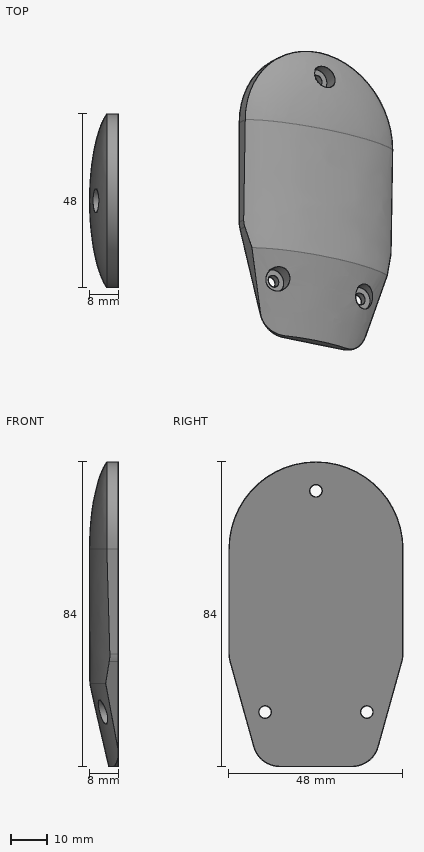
import cadquery as cq
import math

length = 84.0
width = 48.0
crown = 8.0
dome_edge = 3.2

blank_thickness = crown + 1.7
half_width = width / 2
dome_z = length - half_width

shoulder_z = 30.0
tip_half_width = 15.6
shoulder_radius = 7.6
tip_radius = 7.6

crown_half_breadth = 26.0
crease_z = 22.9
crease_depth = 9.6
tip_crown = 2.7
tip_half_breadth = 18.5
tip_depth = 7.5

hole_diameter = 3.4
bore_diameter = 6.55
bore_floor = 2.0
top_hole_z = 76.0
lower_hole_z = 15.0
lower_hole_y = 14.0

edge_fraction = 1 - math.sqrt(1 - (half_width / crown_half_breadth) ** 2)
dome_depth = (crown - dome_edge) / edge_fraction


def make_outline():
    """Plate with a semicircular end and a tapered, rounded tip."""
    plate = (
        cq.Workplane("YZ")
        .moveTo(-tip_half_width, 0)
        .lineTo(tip_half_width, 0)
        .lineTo(half_width, shoulder_z)
        .lineTo(half_width, dome_z)
        .threePointArc((0, length), (-half_width, dome_z))
        .lineTo(-half_width, shoulder_z)
        .close()
        .extrude(-blank_thickness)
    )
    reach = 0.8
    tip_box = cq.selectors.BoxSelector((-blank_thickness, -width, -reach), (0, width, reach))
    shoulder_box = cq.selectors.BoxSelector(
        (-blank_thickness, -width, shoulder_z - reach), (0, width, shoulder_z + reach)
    )
    plate = plate.edges("|X").edges(tip_box).fillet(tip_radius)
    return plate.edges("|X").edges(shoulder_box).fillet(shoulder_radius)


def crown_section(z, ridge, depth, half_breadth):
    """Ellipse at height z whose front point lies on the ridge."""
    return cq.Workplane("XY", origin=(depth - ridge, 0, z)).ellipse(depth, half_breadth).val()


def crowned_blank(lower, upper):
    """Straight blend between two elliptical sections."""
    return cq.Workplane(cq.Solid.makeLoft([lower, upper], True))


def dome_blank():
    """Ellipsoid about the X axis, centred on the rounded end."""
    return (
        cq.Workplane("XY", origin=(dome_depth - crown, 0, dome_z))
        .ellipseArc(dome_depth, crown_half_breadth, 0, 180, startAtCurrent=False)
        .close()
        .revolve(360, (0, 0, 0), (1, 0, 0))
    )


def make_body():
    """Outline plate trimmed by the tapered, middle and domed front surfaces."""
    outline = make_outline()
    tip = crown_section(0, tip_crown, tip_depth, tip_half_breadth)
    crease = crown_section(crease_z, crown, crease_depth, crown_half_breadth)
    dome_start = crown_section(dome_z, crown, dome_depth, crown_half_breadth)
    lower = outline.intersect(crowned_blank(tip, crease))
    middle = outline.intersect(crowned_blank(crease, dome_start))

    upper_size = (2 * blank_thickness, 2 * width, width)
    upper_box = cq.Workplane("XY").box(*upper_size, centered=(True, True, False))
    upper_box = upper_box.translate((0, 0, dome_z))
    upper = outline.intersect(upper_box).intersect(dome_blank())
    return lower.union(middle).union(upper)


def screw_hole(y, z):
    """Through hole with a counterbore opening on the crowned face."""
    plane = cq.Workplane("YZ").center(y, z)
    through = plane.circle(hole_diameter / 2).extrude(-blank_thickness)
    bore = plane.workplane(offset=-bore_floor).circle(bore_diameter / 2).extrude(-blank_thickness)
    return through.union(bore)


result = make_body()
for hole_y, hole_z in (
    (0, top_hole_z),
    (-lower_hole_y, lower_hole_z),
    (lower_hole_y, lower_hole_z),
):
    result = result.cut(screw_hole(hole_y, hole_z))